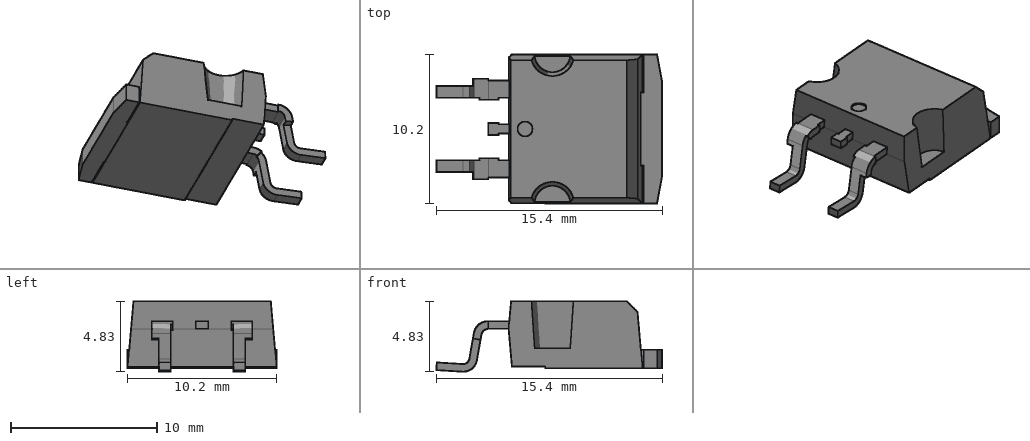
import cadquery as cq
import math


draft = math.tan(math.radians(5.0))
housing_height = 4.6
parting_z = 2.7
housing_width = 10.2
housing_back_x = 9.16
back_chamfer = 0.75
step_x = 2.5
step_height = 0.13

notch_x = 3.0
notch_top_radius = 1.485
notch_floor_radius = 1.22
notch_floor_z = 1.39

mark_x = 1.13
mark_radius = 0.51
mark_depth = 0.1

tab_thickness = 1.28
tab_width = housing_width
tab_end_x = 10.49
tab_shoulder_x = 9.23
tab_tongue_width = 5.0
tab_corner_x = 10.15
tab_end_width = 6.56

lead_thickness = 0.54
lead_pitch = 2.54
neck_end_x = -0.68
shank_end_x = -1.38
foot_half_width = 0.41
inner_edge_y = lead_pitch - foot_half_width
outer_foot_y = lead_pitch + foot_half_width
neck_outer_y = 3.32
inner_ear_y = 1.99
outer_ear_y = 3.44
upper_bend_radius = 0.47
lower_bend_radius = 0.42
leg_angle = 80.0
inner_ear_angle = 38.0
outer_ear_leg = 0.36
foot_rise_angle = 3.5
lead_tip_x = -4.94
lead_lowest_z = -0.23

stub_end_x = -1.39
stub_width = 0.85
stub_neck_width = 0.65

joint_overlap = 0.2


def build_housing():
    front_top_x = (housing_height - parting_z) * draft
    front_bottom_x = (parting_z - step_height) * draft
    chamfer_z = housing_height - back_chamfer
    chamfer_x = housing_back_x - chamfer_z * draft
    side_profile = (
        cq.Workplane("XZ")
        .polyline([
            (front_bottom_x, step_height),
            (0, parting_z),
            (front_top_x, housing_height),
            (chamfer_x - back_chamfer, housing_height),
            (chamfer_x, chamfer_z),
            (housing_back_x, 0),
            (step_x, 0),
            (step_x, step_height),
        ])
        .close()
        .extrude(housing_width / 2, both=True)
    )
    bottom_y = housing_width / 2
    top_y = bottom_y - housing_height * draft
    drafted_sides = (
        cq.Workplane("YZ")
        .polyline([(-bottom_y, 0), (bottom_y, 0), (top_y, housing_height), (-top_y, housing_height)])
        .close()
        .extrude(housing_back_x)
    )
    body = side_profile.intersect(drafted_sides)
    for side in (-1, 1):
        body = body.cut(clamp_notch(side * housing_width / 2))
    mark = (
        cq.Workplane("XY", origin=(mark_x, 0, housing_height))
        .circle(mark_radius)
        .extrude(-mark_depth)
    )
    return body.cut(mark)


def clamp_notch(y):
    """Cone that widens upwards, standing on the notch floor."""
    cone = cq.Solid.makeCone(
        notch_floor_radius,
        notch_top_radius,
        housing_height - notch_floor_z,
        cq.Vector(notch_x, y, notch_floor_z),
    )
    return cq.Workplane(obj=cone)


def build_tab(housing):
    plate = (
        cq.Workplane("XY")
        .polyline([
            (tab_shoulder_x, -tab_width / 2),
            (tab_corner_x, -tab_width / 2),
            (tab_end_x, -tab_end_width / 2),
            (tab_end_x, tab_end_width / 2),
            (tab_corner_x, tab_width / 2),
            (tab_shoulder_x, tab_width / 2),
        ])
        .close()
        .extrude(tab_thickness)
    )
    tongue = cq.Workplane("XY").box(
        tab_end_x - housing_back_x + joint_overlap,
        tab_tongue_width,
        tab_thickness,
        centered=(False, True, False),
    )
    tongue = tongue.translate((housing_back_x - joint_overlap, 0, 0))
    return plate.union(tongue).cut(housing)



def ahead(point, heading, distance):
    """Point reached by moving along the heading."""
    angle = math.radians(heading)
    return (point[0] - distance * math.cos(angle), point[1] - distance * math.sin(angle))


def aside(point, heading, distance):
    """Point moved square to the heading, upwards when the heading is level."""
    return ahead(point, heading - 90, distance)


def extrude_in_y(outline, y_start, y_end):
    return outline.close().extrude(y_start - y_end).translate((0, y_start, 0))


def straight_strip(start, heading, length, y_start, y_end):
    end = ahead(start, heading, length)
    half = lead_thickness / 2
    outline = cq.Workplane("XZ").polyline([
        aside(start, heading, half),
        aside(end, heading, half),
        aside(end, heading, -half),
        aside(start, heading, -half),
    ])
    return extrude_in_y(outline, y_start, y_end)


def bent_strip(center, radius, offset_sign, heading, end_heading, y_start, y_end):
    """Ring sector; offset_sign is 1 if the strip passes above the center, -1 if below."""
    inner = offset_sign * radius
    outer = offset_sign * (radius + lead_thickness)
    middle = (heading + end_heading) / 2
    outline = (
        cq.Workplane("XZ")
        .moveTo(*aside(center, heading, outer))
        .threePointArc(aside(center, middle, outer), aside(center, end_heading, outer))
        .lineTo(*aside(center, end_heading, inner))
        .threePointArc(aside(center, middle, inner), aside(center, heading, inner))
    )
    return extrude_in_y(outline, y_start, y_end)


def build_lead(housing, side):
    """Gull-wing lead on the +Y side, or its mirror image when side is -1."""
    half = lead_thickness / 2
    upper_mid_radius = upper_bend_radius + half
    lower_mid_radius = lower_bend_radius + half
    level_z = parting_z + half
    foot_heading = -foot_rise_angle

    root = (joint_overlap, level_z)
    neck_end = (neck_end_x, level_z)
    shank_end = (shank_end_x, level_z)
    upper_center = aside(shank_end, 0, -upper_mid_radius)
    leg_start = aside(upper_center, leg_angle, upper_mid_radius)

    lower_center_z = lead_lowest_z + lower_bend_radius + lead_thickness
    leg_end_z = lower_center_z - lower_mid_radius * math.cos(math.radians(leg_angle))
    leg_length = (leg_start[1] - leg_end_z) / math.sin(math.radians(leg_angle))
    leg_end = ahead(leg_start, leg_angle, leg_length)
    lower_center = aside(leg_end, leg_angle, lower_mid_radius)
    foot_start = aside(lower_center, foot_heading, -lower_mid_radius)
    foot_underside_x = aside(foot_start, foot_heading, -half)[0]
    foot_length = (foot_underside_x - lead_tip_x) / math.cos(math.radians(foot_rise_angle))

    core = (inner_edge_y, outer_foot_y)
    inner_ear = (inner_ear_y, inner_edge_y)
    outer_ear = (outer_foot_y, outer_ear_y)
    strips = [
        straight_strip(root, 0, root[0] - shank_end_x, inner_edge_y, neck_outer_y),
        bent_strip(upper_center, upper_bend_radius, 1, 0, leg_angle, *core),
        straight_strip(leg_start, leg_angle, leg_length, *core),
        bent_strip(lower_center, lower_bend_radius, -1, leg_angle, foot_heading, *core),
        straight_strip(foot_start, foot_heading, foot_length, *core),
        straight_strip(neck_end, 0, neck_end_x - shank_end_x, *inner_ear),
        bent_strip(upper_center, upper_bend_radius, 1, 0, inner_ear_angle, *inner_ear),
        bent_strip(upper_center, upper_bend_radius, 1, 0, leg_angle, *outer_ear),
        straight_strip(leg_start, leg_angle, outer_ear_leg, *outer_ear),
    ]
    lead = strips[0]
    for strip in strips[1:]:
        lead = lead.union(strip)
    if side < 0:
        lead = lead.mirror("XZ")
    return lead.cut(housing)


def build_stub(housing):
    level_z = parting_z + lead_thickness / 2
    root = (joint_overlap, level_z)
    neck_end = (neck_end_x, level_z)
    neck = straight_strip(root, 0, root[0] - neck_end_x, -stub_neck_width / 2, stub_neck_width / 2)
    head = straight_strip(neck_end, 0, neck_end_x - stub_end_x, -stub_width / 2, stub_width / 2)
    return neck.union(head).cut(housing)


housing = build_housing()
tab = build_tab(housing)
stub = build_stub(housing)
leads = [build_lead(housing, side) for side in (-1, 1)]

result = cq.Compound.makeCompound([
    housing.solids().val(),
    tab.solids().val(),
    stub.solids().val(),
    *[lead.solids().val() for lead in leads],
])